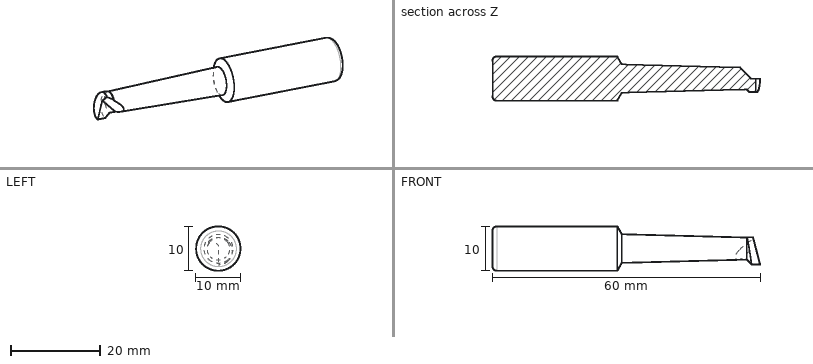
import cadquery as cq
import math

overall_length = 60.0

shank_radius = 5.0
shank_end_round = 1.0
shank_straight_end = 28.0

neck_start = 29.0
neck_end = 57.0
neck_end_radius = 2.5
neck_start_radius = 3.24

head_radius = 3.08
head_offset = 0.5
tip_z = -head_offset - head_radius
head_top_z = -head_offset + head_radius
end_face_top_x = 58.4

gullet_floor_y = -0.75
gullet_floor_start = 58.8
gullet_ramp_angle = 45.0
gullet_ramp_rise = 2 * shank_radius
sweep_reach = 2 * shank_radius
gullet_margin = 1.0


def make_shank_and_neck():
    """Round body turned about the X axis."""
    arc_middle = shank_end_round * (1 - math.cos(math.radians(45)))
    half_section = (
        cq.Workplane("XZ")
        .lineTo(0, shank_radius - shank_end_round)
        .threePointArc(
            (arc_middle, shank_radius - arc_middle),
            (shank_end_round, shank_radius),
        )
        .lineTo(shank_straight_end, shank_radius)
        .lineTo(neck_start, neck_start_radius)
        .lineTo(neck_end, neck_end_radius)
        .lineTo(neck_end, 0)
        .close()
    )
    return half_section.revolve(360, (0, 0, 0), (1, 0, 0))


def make_head():
    """Eccentric cylinder, limited by a 45 degree flare behind and a leaning end face in front."""
    head_length = overall_length - neck_end
    cylinder = (
        cq.Workplane("YZ", origin=(neck_end, 0, -head_offset))
        .circle(head_radius)
        .extrude(head_length)
    )
    flare = (
        cq.Workplane("XZ")
        .moveTo(neck_end, 0)
        .lineTo(neck_end, neck_end_radius)
        .lineTo(overall_length, neck_end_radius + head_length)
        .lineTo(overall_length, 0)
        .close()
        .revolve(360, (0, 0, 0), (1, 0, 0))
    )
    leaning_block = (
        cq.Workplane("XZ")
        .moveTo(neck_end, tip_z)
        .lineTo(overall_length, tip_z)
        .lineTo(end_face_top_x, head_top_z)
        .lineTo(neck_end, head_top_z)
        .close()
        .extrude(head_radius, both=True)
    )
    return cylinder.intersect(flare).intersect(leaning_block)


def make_gullet():
    """Cutter for the chip gullet; it stops at Y = 0, which leaves the flat rake face."""
    ramp_length = gullet_ramp_rise / math.tan(math.radians(gullet_ramp_angle))
    cutter_end = overall_length + gullet_margin
    ramp_top_y = gullet_floor_y + gullet_ramp_rise
    diagonal = cq.Vector(0, 1, 1).normalized()
    start = diagonal * -sweep_reach
    profile = cq.Wire.makePolygon(
        [
            cq.Vector(gullet_floor_start, gullet_floor_y, 0) + start,
            cq.Vector(cutter_end, gullet_floor_y, 0) + start,
            cq.Vector(cutter_end, ramp_top_y, 0) + start,
            cq.Vector(gullet_floor_start - ramp_length, ramp_top_y, 0) + start,
        ],
        close=True,
    )
    channel = cq.Solid.extrudeLinear(profile, [], diagonal * (2 * sweep_reach))
    rake_side = cq.Workplane("XY").box(
        cutter_end, shank_radius, 2 * shank_radius, centered=(False, False, True)
    )
    return rake_side.intersect(cq.Workplane(channel))


result = make_shank_and_neck().union(make_head()).cut(make_gullet())